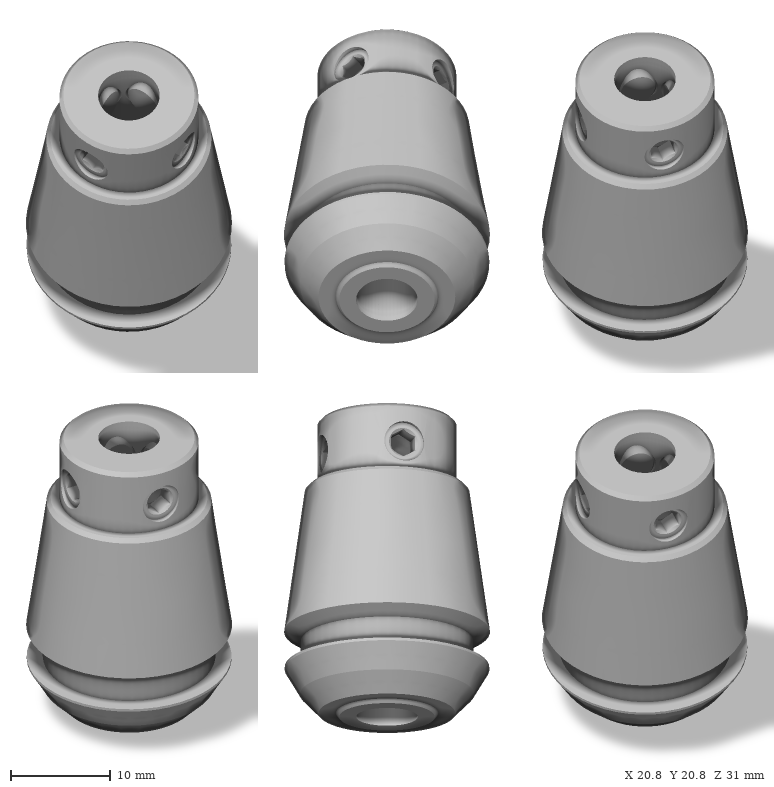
import cadquery as cq
import math

height = 31.0
skirt_radius = 20.75 / 2
flange_radius = 20.6 / 2
groove_radius = 17.4 / 2
collar_radius = 14.0 / 2
edge_chamfer = 0.4

collar_base_z = 24.0
skirt_base_z = 8.93
groove_top_z = 7.95
flange_top_z = 5.25
flange_rim_height = 0.28
bevel_break_z = 2.35

shoulder_radius = 8.3
bevel_break_radius = 8.77
bottom_face_radius = 6.88
nose_radius = 4.8
nose_height = 0.37

bore_diameter = 6.2

screw_count = 4
screw_z = 26.97
screw_diameter = 5.0
screw_face_radius = 6.48
screw_tip_radius = 2.48
tip_chamfer = 0.68
tapped_hole_diameter = 4.12
socket_across_flats = 2.48
socket_mouth_diameter = 3.0
socket_depth = 2.0
drill_point_angle = 120.0


def turned_body():
    """Revolve the half profile around Z."""
    outline = [
        (0, 0),
        (nose_radius, 0),
        (nose_radius + nose_height, nose_height),
        (bottom_face_radius, nose_height),
        (bevel_break_radius, bevel_break_z),
        (flange_radius, flange_top_z - flange_rim_height),
        (flange_radius, flange_top_z),
        (groove_radius, flange_top_z),
        (groove_radius, groove_top_z),
        (skirt_radius, skirt_base_z),
        (shoulder_radius, collar_base_z - edge_chamfer),
        (shoulder_radius - edge_chamfer, collar_base_z),
        (collar_radius, collar_base_z),
        (collar_radius, height - edge_chamfer),
        (collar_radius - edge_chamfer, height),
        (0, height),
    ]
    profile = cq.Workplane("XZ").polyline(outline).close()
    return profile.revolve(360, (0, 0, 0), (0, 1, 0))


def cone(base_radius, depth):
    """Solid cone with its base on the XY plane and its point at -depth."""
    profile = cq.Workplane("XZ").polyline([(0, 0), (base_radius, 0), (0, -depth)]).close()
    return profile.revolve(360, (0, 0, 0), (0, 1, 0))


def tapped_hole():
    """Cutter from the collar surface, above the XY plane, down to the bore axis."""
    hole = cq.Workplane("XY").circle(tapped_hole_diameter / 2).extrude(collar_radius)
    return hole.translate((0, 0, -screw_face_radius))


def hex_socket():
    """Hex socket below the screw face."""
    across_corners = socket_across_flats / math.cos(math.pi / 6)
    hexagon = cq.Workplane("XY").polygon(6, across_corners).extrude(-socket_depth)

    mouth_radius = socket_mouth_diameter / 2
    mouth = cone(mouth_radius, mouth_radius)

    point_radius = socket_across_flats / 2
    point_depth = point_radius / math.tan(math.radians(drill_point_angle / 2))
    drill_point = cone(point_radius, point_depth).translate((0, 0, -socket_depth))

    return hexagon.union(mouth).union(drill_point)


def set_screw():
    """Set screw with its face on the XY plane and chamfered tip pointing to -Z."""
    screw_length = screw_face_radius - screw_tip_radius
    screw = cq.Workplane("XY").circle(screw_diameter / 2).extrude(-screw_length)
    screw = screw.faces("<Z").chamfer(tip_chamfer)
    return screw.cut(hex_socket())


def place_in_collar(shape, angle):
    """Turn +Z to point radially outward and move the XY plane to the screw face."""
    laid = shape.rotate((0, 0, 0), (0, 1, 0), 90)
    return laid.translate((screw_face_radius, 0, screw_z)).rotate((0, 0, 0), (0, 0, 1), angle)


bore = cq.Workplane("XY").circle(bore_diameter / 2).extrude(height)
result = turned_body().cut(bore)

hole = tapped_hole()
screw = set_screw()
for index in range(screw_count):
    angle = index * 360 / screw_count
    result = result.cut(place_in_collar(hole, angle))
    result = result.union(place_in_collar(screw, angle))